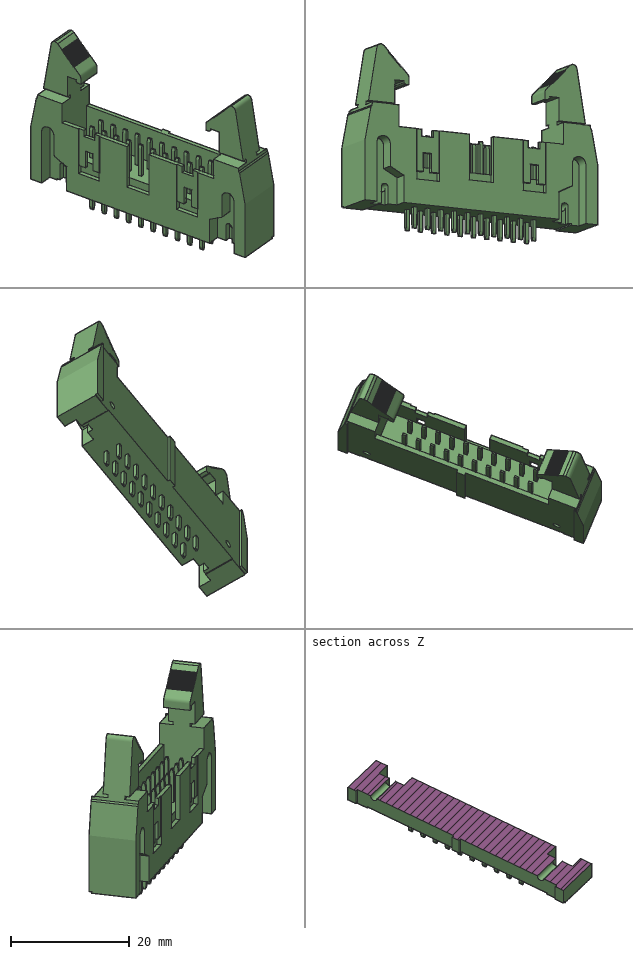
import cadquery as cq
import math


half_length = 22.3
body_depth = 7.85
front_y = -body_depth / 2
rear_y = body_depth / 2
wall = 0.8
body_top = 13.0
cavity_floor = 6.55
post_inner_x = 15.75
rear_projection = 0.45
key_rib_width = 1.5

foot_drop = 0.25
foot_inner_x = 18.5
post_top = 16.75
step_top_z = 16.2
bevel_top_x = 21.15
bevel_top_z = 15.9
bevel_bottom_z = 10.1
rear_plate_x = 20.6
rear_plate_top = 16.6

pocket_depth = 2.36
pocket_outer_x = 20.0
arch_radius = 1.27
arch_top = 11.15
pocket_inner_x = 14.87
pocket_slope_top = 6.0
pocket_slope_bottom = 4.68
pivot_x = 17.25
pivot_z = 2.85
pivot_diameter = 1.27
pivot_groove_depth = 1.0

lever_width = 4.7
neck_width = 3.0
neck_top = 17.3
lever_base_x = 20.77
tip_radius = 0.9
tip_x = 18.3
lever_top = 27.3
tip_facet_x = 17.8
hook_tip_x = 13.0
hook_lip_x = 13.95
hook_corner_z = 22.25
hook_bottom = 20.75
hook_ceiling = 21.32
hook_nose_radius = 0.85
hook_lip_chamfer = 0.25
serration_count = 14
serration_pitch = 0.18
serration_start_x = 16.92

key_slot_width = 4.56
key_slot_bottom = 5.1
panel_x = 10.2
panel_width = 4.32
panel_bottom = 4.28
panel_recess = 0.17
sill_top = 5.76
window_x = 10.26
window_width = 1.52
window_top = 9.0
panel_notch_width = 2.2
panel_notch_bottom = 11.8

pin_columns = 10
pin_rows = 2
pin_pitch = 2.54
pin_width = 0.64
pin_bottom = -3.6
pin_top = 12.5
pin_tip_width = 0.3
pin_taper = 0.6


def block(x_range, y_range, z_range):
    """Box between two limits along each axis."""
    size = [high - low for low, high in (x_range, y_range, z_range)]
    corner = (x_range[0], y_range[0], z_range[0])
    return cq.Workplane("XY").box(*size, centered=False).translate(corner)


def centred_block(x, width, y_range, z_range):
    """Box of the given width centred on x."""
    return block((x - width / 2, x + width / 2), y_range, z_range)


def between_y(sketch, y_low, y_high):
    """Extrude an outline drawn on the XZ plane so that it fills y_low to y_high."""
    return sketch.extrude(y_low - y_high).translate((0, y_low, 0))


def outline(points):
    return cq.Workplane("XZ").polyline(points).close()


def lever_side():
    """Tangent point on the tip circle of the lever's outer side, and that side's slope dx/dz."""
    tip_z = lever_top - tip_radius
    rise = tip_z - neck_top
    run = lever_base_x - tip_x
    normal_angle = math.atan2(rise, run) + math.asin(tip_radius / math.hypot(run, rise)) + math.pi / 2
    tangent = (
        -tip_x + tip_radius * math.cos(normal_angle),
        tip_z + tip_radius * math.sin(normal_angle),
    )
    slope = (tangent[0] + lever_base_x) / (tangent[1] - neck_top)
    return tangent, slope


side_tangent, side_slope = lever_side()


def lever_side_x(z):
    """X of the left lever's outer side at height z, continued down into the post."""
    return -lever_base_x + side_slope * (z - neck_top)


def end_post():
    """Left end post with its bevelled outer side, low foot and rear plate."""
    profile = [
        (-half_length, -foot_drop),
        (-foot_inner_x, -foot_drop),
        (-foot_inner_x, 0),
        (-post_inner_x, 0),
        (-post_inner_x, post_top),
        (lever_side_x(post_top), post_top),
        (lever_side_x(step_top_z), step_top_z),
        (-bevel_top_x, bevel_top_z),
        (-half_length, bevel_bottom_z),
    ]
    post = between_y(outline(profile), front_y, rear_y)
    rear_plate = between_y(outline(profile), rear_y, rear_y + rear_projection)
    plate_limits = block(
        (-half_length, -rear_plate_x),
        (rear_y, rear_y + rear_projection),
        (0, rear_plate_top),
    )
    return post.union(rear_plate.intersect(plate_limits))


def post_pocket():
    """Arched front pocket, pivot hole through the post and the groove below the hole."""
    arch_inner_x = pocket_outer_x - 2 * arch_radius
    arch_spring = arch_top - arch_radius
    pocket = between_y(
        cq.Workplane("XZ")
        .moveTo(-pocket_outer_x, -foot_drop)
        .lineTo(-pocket_outer_x, arch_spring)
        .threePointArc((-pocket_outer_x + arch_radius, arch_top), (-arch_inner_x, arch_spring))
        .lineTo(-arch_inner_x, pocket_slope_top)
        .lineTo(-pocket_inner_x, pocket_slope_bottom)
        .lineTo(-pocket_inner_x, -foot_drop)
        .close(),
        front_y,
        front_y + pocket_depth,
    )
    pivot_circle = cq.Workplane("XZ").center(-pivot_x, pivot_z).circle(pivot_diameter / 2)
    pivot_hole = between_y(pivot_circle, front_y, rear_y)
    groove = centred_block(
        -pivot_x,
        pivot_diameter,
        (front_y, front_y + pocket_depth + pivot_groove_depth),
        (-foot_drop, pivot_z),
    )
    return pocket.union(pivot_hole).union(groove)


def latch_lever():
    """Left latch lever: rounded and faceted tip, 45 degree serrated face and a hook over the cavity."""
    face_sum = hook_corner_z - hook_tip_x
    tip_z = lever_top - tip_radius
    arc_start_angle = math.atan2(side_tangent[1] - tip_z, side_tangent[0] + tip_x)
    arc_angle = (arc_start_angle + math.pi / 2) / 2
    arc_middle = (
        -tip_x + tip_radius * math.cos(arc_angle),
        tip_z + tip_radius * math.sin(arc_angle),
    )
    profile = (
        cq.Workplane("XZ")
        .moveTo(-lever_base_x, neck_top)
        .lineTo(*side_tangent)
        .threePointArc(arc_middle, (-tip_x, lever_top))
        .lineTo(-tip_facet_x, face_sum + tip_facet_x)
        .lineTo(-hook_tip_x, hook_corner_z)
        .lineTo(-hook_tip_x, hook_bottom)
        .lineTo(-hook_lip_x, hook_bottom)
        .lineTo(-hook_lip_x, hook_ceiling)
        .lineTo(-post_inner_x, hook_ceiling)
        .lineTo(-post_inner_x, neck_top)
        .close()
    )
    lever = between_y(profile, -lever_width / 2, lever_width / 2)
    nose_edge = cq.selectors.NearestToPointSelector((-hook_tip_x, 0, hook_corner_z))
    lip_edge = cq.selectors.NearestToPointSelector((-hook_lip_x, 0, hook_bottom))
    lever = lever.edges("|Y").edges(nose_edge).fillet(hook_nose_radius)
    lever = lever.edges("|Y").edges(lip_edge).chamfer(hook_lip_chamfer)

    stairs = cq.Workplane("XZ").moveTo(-serration_start_x, face_sum + serration_start_x)
    for _ in range(serration_count):
        stairs = stairs.line(0, -serration_pitch).line(serration_pitch, 0)
    lever = lever.cut(between_y(stairs.close(), -lever_width / 2, lever_width / 2))

    neck = between_y(
        outline([
            (lever_side_x(step_top_z), step_top_z),
            (-post_inner_x, step_top_z),
            (-post_inner_x, neck_top),
            (-lever_base_x, neck_top),
        ]),
        -neck_width / 2,
        neck_width / 2,
    )
    return lever.union(neck)


def front_panel_cut(side):
    """Shallow panel in the front wall with a sill recess, a window and a top notch."""
    inner_y = front_y + wall
    panel = centred_block(
        side * panel_x, panel_width, (front_y, front_y + panel_recess), (panel_bottom, body_top)
    )
    sill = centred_block(side * panel_x, panel_width, (front_y, inner_y), (panel_bottom, sill_top))
    window = centred_block(side * window_x, window_width, (front_y, inner_y), (sill_top, window_top))
    notch = centred_block(
        side * panel_x, panel_notch_width, (front_y, inner_y), (panel_notch_bottom, body_top)
    )
    return panel.union(sill).union(window).union(notch)


def pin():
    """Square pin on the Z axis, tapered across Y at both ends."""
    half = pin_width / 2
    half_tip = pin_tip_width / 2
    return (
        cq.Workplane("YZ")
        .moveTo(-half_tip, pin_bottom)
        .lineTo(half_tip, pin_bottom)
        .lineTo(half, pin_bottom + pin_taper)
        .lineTo(half, pin_top - pin_taper)
        .lineTo(half_tip, pin_top)
        .lineTo(-half_tip, pin_top)
        .lineTo(-half, pin_top - pin_taper)
        .lineTo(-half, pin_bottom + pin_taper)
        .close()
        .extrude(half, both=True)
    )


def housing():
    """Shrouded body with both end posts and levers."""
    body = block((-post_inner_x, post_inner_x), (front_y, rear_y), (0, body_top))
    key_rib = centred_block(0, key_rib_width, (rear_y, rear_y + rear_projection), (0, body_top))
    body = body.union(key_rib)

    left_end = end_post().union(latch_lever())
    body = body.union(left_end).union(left_end.mirror("YZ"))
    left_cut = post_pocket()
    body = body.cut(left_cut).cut(left_cut.mirror("YZ"))

    cavity = block(
        (-post_inner_x, post_inner_x),
        (front_y + wall, rear_y - wall),
        (cavity_floor, body_top),
    )
    key_slot = centred_block(0, key_slot_width, (front_y, front_y + wall), (key_slot_bottom, body_top))
    body = body.cut(cavity).cut(key_slot)
    for side in (-1, 1):
        body = body.cut(front_panel_cut(side))
    return body


result = housing()
for column in range(pin_columns):
    for row in range(pin_rows):
        x = (column - (pin_columns - 1) / 2) * pin_pitch
        y = (row - (pin_rows - 1) / 2) * pin_pitch
        result = result.union(pin().translate((x, y, 0)))